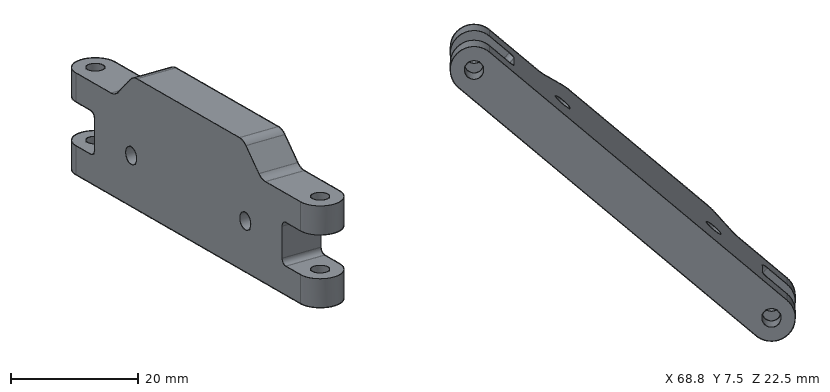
import cadquery as cq

thickness = 7.5
lug_radius = thickness / 2
pin_spacing = 61.3
length = pin_spacing + 2 * lug_radius

lug_height = 5.0
slot_height = 7.5
raised_height = 5.0
shoulder_z = 2 * lug_height + slot_height
top_z = shoulder_z + raised_height

top_half_width = 15.0
base_half_width = top_half_width + raised_height
flank_fillet = 2.5

slot_wall_spacing = 51.2
slot_depth = (length - slot_wall_spacing) / 2
slot_mid_z = lug_height + slot_height / 2
slot_corner_radius = 1.0

pin_hole_diameter = 3.0
mount_hole_diameter = 3.0
mount_hole_spacing = 31.1


def make_body():
    """Side profile in XZ, extruded across the thickness and centred on Y = 0."""
    half_length = length / 2
    body = (
        cq.Workplane("XZ")
        .moveTo(-half_length, 0)
        .lineTo(half_length, 0)
        .lineTo(half_length, shoulder_z)
        .lineTo(base_half_width, shoulder_z)
        .lineTo(top_half_width, top_z)
        .lineTo(-top_half_width, top_z)
        .lineTo(-base_half_width, shoulder_z)
        .lineTo(-half_length, shoulder_z)
        .close()
        .extrude(thickness / 2, both=True)
    )
    flank_corners = [
        (side * half_width, 0, z)
        for side in (-1, 1)
        for half_width, z in ((base_half_width, shoulder_z), (top_half_width, top_z))
    ]
    for corner in flank_corners:
        body = body.edges(cq.selectors.NearestToPointSelector(corner)).fillet(flank_fillet)
    return body


def make_rounded_envelope():
    """Stadium in plan that gives the lugs their round ends."""
    return cq.Workplane("XY").slot2D(length, thickness).extrude(top_z)


def make_end_slot(side):
    """Slot open at one end; side is -1 or 1. Its inner corners are rounded."""
    return (
        cq.Workplane("XY")
        .box(2 * slot_depth, thickness, slot_height)
        .edges("|Y")
        .fillet(slot_corner_radius)
        .translate((side * length / 2, 0, slot_mid_z))
    )


def make_pin_holes():
    """Vertical holes through both lugs at each end."""
    return (
        cq.Workplane("XY")
        .rarray(pin_spacing, 1, 2, 1)
        .circle(pin_hole_diameter / 2)
        .extrude(shoulder_z)
    )


def make_mount_holes():
    """Cross holes through the thickness, level with the slot centres."""
    return (
        cq.Workplane("XZ")
        .center(0, slot_mid_z)
        .rarray(mount_hole_spacing, 1, 2, 1)
        .circle(mount_hole_diameter / 2)
        .extrude(thickness / 2, both=True)
    )


result = make_body().intersect(make_rounded_envelope())
for end_side in (-1, 1):
    result = result.cut(make_end_slot(end_side))
result = result.cut(make_pin_holes()).cut(make_mount_holes())